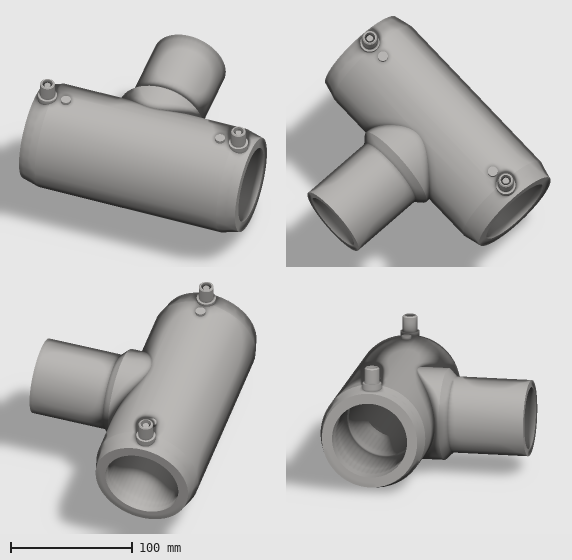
import cadquery as cq

length = 189.0
body_radius = 44.0
end_radius = 40.0
taper_length = 15.1
socket_radius = 31.5
stop_radius = 30.0
stop_length = 56.7

branch_end = 117.0
spigot_radius = socket_radius
spigot_length = 63.3
collar_radius = 38.0
collar_taper = 6.6
branch_bore_radius = 25.7

terminal_x = 83.5
flange_radius = 8.0
post_radius = 6.0
post_top = 60.0
post_chamfer = 1.0
cup_radius = 4.3
cup_depth = 9.5
pin_radius = 2.6
pin_recess = 1.9
stud_x = 67.5
stud_radius = 4.2
shoulder_z = body_radius + 2.5
root_z = 35.0


def x_cylinder(radius, cylinder_length):
    """Cylinder along X, centred on the origin."""
    return cq.Workplane("YZ").circle(radius).extrude(cylinder_length / 2, both=True)


def z_cylinder(x, radius, bottom, top):
    """Upright cylinder in the middle plane of the pipe."""
    return cq.Workplane("XY", origin=(x, 0, bottom)).circle(radius).extrude(top - bottom)


def main_pipe():
    """Solid pipe with a conical taper at both ends."""
    half = length / 2
    straight_half = half - taper_length
    profile = [
        (-half, 0),
        (-half, end_radius),
        (-straight_half, body_radius),
        (straight_half, body_radius),
        (half, end_radius),
        (half, 0),
    ]
    return cq.Workplane("XY").polyline(profile).close().revolve(360, (0, 0, 0), (1, 0, 0))


def branch():
    """Solid spigot with a wider, tapered collar where it leaves the pipe."""
    collar_end = branch_end - spigot_length
    profile = [
        (0, 0),
        (collar_radius, 0),
        (collar_radius, collar_end - collar_taper),
        (spigot_radius, collar_end),
        (spigot_radius, branch_end),
        (0, branch_end),
    ]
    return cq.Workplane("XY").polyline(profile).close().revolve(360, (0, 0, 0), (0, 1, 0))


def flow_passages():
    """Stepped through bore of the pipe joined to the bore of the branch."""
    sockets = x_cylinder(socket_radius, length).cut(x_cylinder(socket_radius, stop_length))
    through_bore = x_cylinder(stop_radius, length)
    branch_bore = cq.Workplane("XZ").circle(branch_bore_radius).extrude(-branch_end)
    return sockets.union(through_bore).union(branch_bore)


def terminal(x):
    """Flanged, chamfered post with a contact pin standing in an open cup."""
    flange = z_cylinder(x, flange_radius, root_z, shoulder_z)
    post = z_cylinder(x, post_radius, root_z, post_top).faces(">Z").chamfer(post_chamfer)
    cup = z_cylinder(x, cup_radius, post_top - cup_depth, post_top)
    pin = z_cylinder(x, pin_radius, post_top - cup_depth, post_top - pin_recess)
    return flange.union(post).cut(cup.cut(pin))


result = main_pipe().union(branch()).cut(flow_passages())
for side in (-1, 1):
    result = result.union(terminal(side * terminal_x))
    result = result.union(z_cylinder(side * stud_x, stud_radius, root_z, shoulder_z))